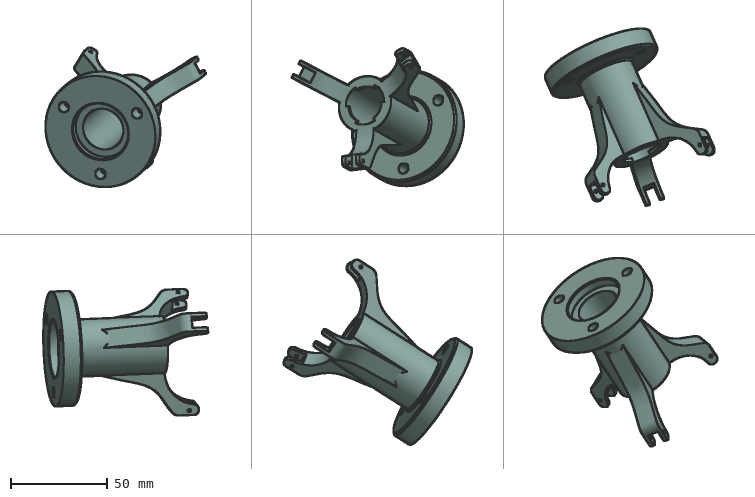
import cadquery as cq
import math


flange_diameter = 60.0
flange_thickness = 10.0
flange_chamfer = 1.0
bolt_hole_diameter = 5.5
bolt_circle_radius = 23.0

tube_radius = 15.0
tube_end = 58.0
root_chamfer = 1.0
bore_radius = 11.0
counterbore_radius = 15.0
counterbore_depth = 5.0
counterbore_chamfer = 0.5

lip_inner_radius = 9.5
lip_thickness = 2.0
lip_span = 60.0
lip_overlap = 1.0

arm_count = 3
arm_width = 10.0
arm_start = 24.0
arm_end = 76.02
arm_height = 37.0
arm_root_height = 12.0
tip_thickness = 5.5
tip_radius = 2.5
inner_arc_radius = arm_end - tube_end
root_slope_angle = 16.0
outer_slope_angle = 56.0
shoulder_position = 63.0
shoulder_radius = 5.0
waist_points = [(40.0, 18.2), (45.0, 19.45), (50.5, 21.8), (56.0, 26.75)]

fork_slot_width = 6.0
fork_slot_depth = 8.5
pin_hole_diameter = 1.5
pin_from_tip = 5.0
pin_height = 34.5

arm_pitch = 360.0 / arm_count


def ring_sector(inner_radius, outer_radius, start, length, span):
    """Sector of a ring along Y, centred on +Z."""
    half_span = math.radians(span / 2)

    def on_ring(radius, angle):
        return (radius * math.cos(angle), radius * math.sin(angle))

    return (
        cq.Workplane("ZX", origin=(0, start, 0))
        .moveTo(*on_ring(inner_radius, -half_span))
        .threePointArc(on_ring(inner_radius, 0), on_ring(inner_radius, half_span))
        .lineTo(*on_ring(outer_radius, half_span))
        .threePointArc(on_ring(outer_radius, 0), on_ring(outer_radius, -half_span))
        .close()
        .extrude(length)
    )


def make_body():
    """Flange and tube, with bore and counterbore, as one turned shape."""
    flange_radius = flange_diameter / 2
    profile = [
        (bore_radius, counterbore_depth),
        (counterbore_radius, counterbore_depth),
        (counterbore_radius, counterbore_chamfer),
        (counterbore_radius + counterbore_chamfer, 0),
        (flange_radius, 0),
        (flange_radius, flange_thickness - flange_chamfer),
        (flange_radius - flange_chamfer, flange_thickness),
        (tube_radius + root_chamfer, flange_thickness),
        (tube_radius, flange_thickness + root_chamfer),
        (tube_radius, tube_end),
        (bore_radius, tube_end),
    ]
    return cq.Workplane("XY").polyline(profile).close().revolve(360, (0, 0, 0), (0, 1, 0))


def make_arm():
    """Forked arm pointing to +Z."""
    half_width = arm_width / 2
    root_edge_height = math.sqrt(tube_radius**2 - half_width**2)
    root_angle = math.radians(root_slope_angle)
    outer_angle = math.radians(outer_slope_angle)

    shoulder_setback = shoulder_radius * math.tan(outer_angle / 2)
    shoulder_centre = (shoulder_position + shoulder_setback, arm_height - shoulder_radius)

    def on_shoulder(angle):
        return (
            shoulder_centre[0] - shoulder_radius * math.sin(angle),
            shoulder_centre[1] + shoulder_radius * math.cos(angle),
        )

    outer_edge = [*reversed(waist_points), (arm_start, root_edge_height)]
    outer_edge_tangents = [
        (-math.cos(outer_angle), -math.sin(outer_angle)),
        (-math.cos(root_angle), -math.sin(root_angle)),
    ]

    tip_bottom = arm_height - tip_thickness
    arc_centre_height = tip_bottom - inner_arc_radius
    arc_middle = (
        arm_end - inner_arc_radius * math.cos(math.radians(45)),
        arc_centre_height + inner_arc_radius * math.sin(math.radians(45)),
    )

    arm = (
        cq.Workplane("YZ", origin=(-half_width, 0, 0))
        .moveTo(arm_start, arm_root_height)
        .lineTo(tube_end, arm_root_height)
        .lineTo(tube_end, arc_centre_height)
        .threePointArc(arc_middle, (arm_end, tip_bottom))
        .lineTo(arm_end, arm_height)
        .lineTo(*on_shoulder(0))
        .threePointArc(on_shoulder(outer_angle / 2), on_shoulder(outer_angle))
        .spline(outer_edge, tangents=outer_edge_tangents, includeCurrent=True)
        .close()
        .extrude(arm_width)
    )

    def round_edge(shape, position, height, radius):
        edge = cq.selectors.NearestToPointSelector((0, position, height))
        return shape.edges("|X").edges(edge).fillet(radius)

    arm = round_edge(arm, arm_end, arm_height, tip_radius)
    arm = round_edge(arm, arm_end, tip_bottom, tip_radius)

    fork_slot = cq.Workplane("XY").box(fork_slot_width, 2 * fork_slot_depth, 2 * arm_height)
    arm = arm.cut(fork_slot.translate((0, arm_end, 0)))

    pin_hole = (
        cq.Workplane("YZ")
        .center(arm_end - pin_from_tip, pin_height)
        .circle(pin_hole_diameter / 2)
        .extrude(arm_width, both=True)
    )
    return arm.cut(pin_hole)


def make_bolt_hole():
    """Cutter for the bolt hole on the +Z side of the flange."""
    return (
        cq.Workplane("ZX")
        .center(bolt_circle_radius, 0)
        .circle(bolt_hole_diameter / 2)
        .extrude(flange_thickness)
    )


def around_axis(shape, angle):
    return shape.rotate((0, 0, 0), (0, 1, 0), angle)


arm = make_arm()
bolt_hole = make_bolt_hole()
lip = ring_sector(
    lip_inner_radius, bore_radius + lip_overlap, tube_end - lip_thickness, lip_thickness, lip_span
)

result = make_body()
for index in range(arm_count):
    lip_angle = index * arm_pitch
    arm_angle = lip_angle + arm_pitch / 2
    result = result.union(around_axis(lip, lip_angle))
    result = result.union(around_axis(arm, arm_angle))
    result = result.cut(around_axis(bolt_hole, arm_angle))